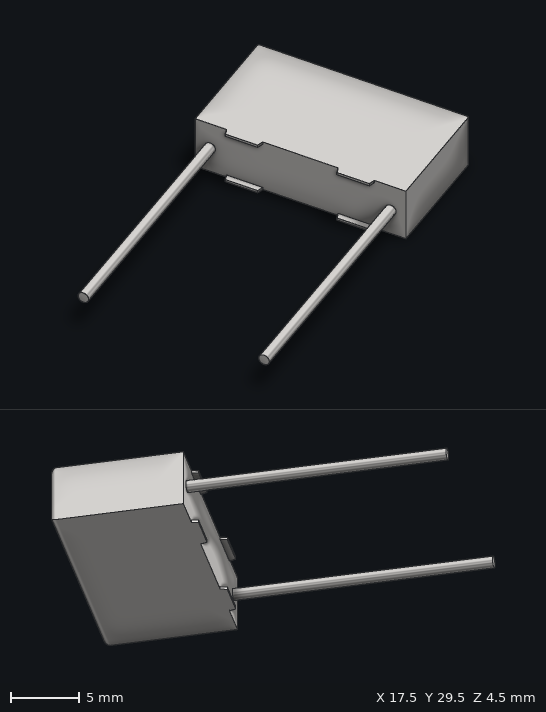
import cadquery as cq

TOTAL_LENGTH = 29.5
HOUSING_WIDTH = 17.5
HOUSING_LENGTH = 10.0
HOUSING_THICKNESS = 4.5
BACK_FILLET = 0.5

TAB_SPACING = 9.25
TAB_BASE_WIDTH = 3.0
TAB_TIP_WIDTH = 2.7
TAB_HEIGHT = 0.5
TAB_THICKNESS = 0.2

LEAD_SPACING = 15.0
LEAD_DIAMETER = 0.88
LEAD_LENGTH = TOTAL_LENGTH - HOUSING_LENGTH


def tab(center_x, bottom_z):
    """Tapered tab that stands out from the lead face at y = 0 toward -Y."""
    return (
        cq.Workplane("XY", origin=(center_x, 0, bottom_z))
        .polyline([
            (-TAB_BASE_WIDTH / 2, 0),
            (-TAB_TIP_WIDTH / 2, -TAB_HEIGHT),
            (TAB_TIP_WIDTH / 2, -TAB_HEIGHT),
            (TAB_BASE_WIDTH / 2, 0),
        ])
        .close()
        .extrude(TAB_THICKNESS)
    )


def make_housing():
    """Block with a rounded back end and four tabs flush with its broad faces."""
    block = (
        cq.Workplane("XY")
        .box(HOUSING_WIDTH, HOUSING_LENGTH, HOUSING_THICKNESS, centered=(True, False, True))
        .faces(">Y")
        .edges()
        .fillet(BACK_FILLET)
    )
    lower_tab_z = -HOUSING_THICKNESS / 2
    upper_tab_z = HOUSING_THICKNESS / 2 - TAB_THICKNESS
    for center_x in (-TAB_SPACING / 2, TAB_SPACING / 2):
        for bottom_z in (lower_tab_z, upper_tab_z):
            block = block.union(tab(center_x, bottom_z))
    return block


def make_lead(center_x):
    """Straight round wire that starts on the lead face and runs toward -Y."""
    return (
        cq.Workplane("XZ", origin=(center_x, 0, 0))
        .circle(LEAD_DIAMETER / 2)
        .extrude(LEAD_LENGTH)
    )


housing = make_housing()
leads = [make_lead(center_x) for center_x in (-LEAD_SPACING / 2, LEAD_SPACING / 2)]

result = cq.Compound.makeCompound([housing.val(), *[lead.val() for lead in leads]])